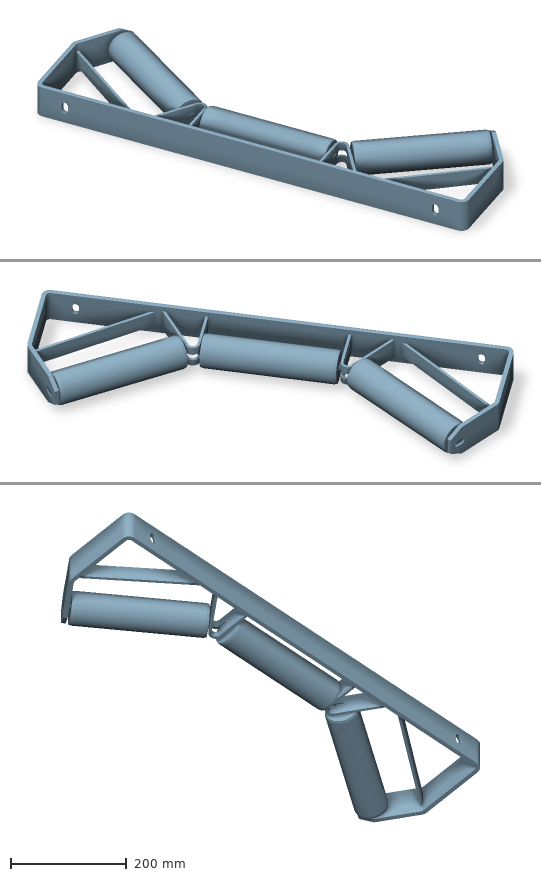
import cadquery as cq
import math

TROUGH_ANGLE = 35.0

FRAME_LENGTH = 830.0
FRAME_DEPTH = 246.5
STRAP_WIDTH = 60.0
STRAP_THICKNESS = 8.0
STRAP_BEND_RADIUS = 15.0
SIDE_END_Y = 146.0

WING_TIP_WIDTH = 30.0
WING_TAPER_LENGTH = 27.0

MOUNT_SLOT_X = 357.0
MOUNT_SLOT_WIDTH = 12.5
MOUNT_SLOT_HEIGHT = 22.0

STRUT_WIDTH = 30.0
STRUT_THICKNESS = 5.0
STRUT_FOOT_X = 222.0
STRUT_TOP_Y = 150.0

BRACKET_WIDTH = 40.0
BRACKET_THICKNESS = 5.0
BRACKET_BEND_RADIUS = 13.0

ROLLER_DIAMETER = 61.0
ROLLER_Z = -1.75
ROLLER_LENGTH = 240.0
ROLLER_END_LENGTH = 5.0
ROLLER_END_DROP = 1.25
ROLLER_GAP = 3.5
ROLLER_SHIFT = 1.0
CENTRE_ROLLER_Y = 72.0
SIDE_ROLLER_X = 255.0

SHAFT_DIAMETER = 15.0
SHAFT_FLAT_WIDTH = 10.0
SHAFT_SLOT_WIDTH = 12.5
SHAFT_SLOT_FLOOR = 8.0
WING_SLOT_TOP = 14.0

TILT = math.radians(TROUGH_ANGLE)
SIN = math.sin(TILT)
COS = math.cos(TILT)

HALF_LENGTH = FRAME_LENGTH / 2
SIDE_INNER_X = HALF_LENGTH - STRAP_THICKNESS
STRAP_BEND_X = HALF_LENGTH - STRAP_BEND_RADIUS
STRAP_INNER_RADIUS = STRAP_BEND_RADIUS - STRAP_THICKNESS
WING_START_Y = SIDE_END_Y + STRAP_BEND_RADIUS * SIN
WING_LENGTH = (FRAME_DEPTH - WING_START_Y) / COS
WING_TIP_X = STRAP_BEND_X + STRAP_BEND_RADIUS * COS - WING_LENGTH * SIN

SUPPORT_OFFSET = ROLLER_LENGTH / 2 + ROLLER_GAP
SHAFT_LENGTH = 2 * (SUPPORT_OFFSET + BRACKET_THICKNESS)

SIDE_ROLLER_TO_WING = SUPPORT_OFFSET + STRAP_THICKNESS
SIDE_ROLLER_Y = FRAME_DEPTH - (SIDE_ROLLER_TO_WING - (WING_TIP_X - SIDE_ROLLER_X) * COS) / SIN

BRACKET_BEND_X = SUPPORT_OFFSET + BRACKET_BEND_RADIUS
SLOPED_FACE = SIDE_ROLLER_X * COS + SIDE_ROLLER_Y * SIN - SUPPORT_OFFSET
BRACKET_BEND_Y = (SLOPED_FACE - BRACKET_BEND_RADIUS - BRACKET_BEND_X * COS) / SIN

CENTRE_ROLLER_PLANE = cq.Plane((0, CENTRE_ROLLER_Y, ROLLER_Z), xDir=(0, 1, 0), normal=(1, 0, 0))
SIDE_ROLLER_MIDDLE = (SIDE_ROLLER_X, SIDE_ROLLER_Y, ROLLER_Z)
SIDE_ROLLER_PLANE = cq.Plane(SIDE_ROLLER_MIDDLE, xDir=(-SIN, COS, 0), normal=(COS, SIN, 0))


def polar(centre, radius, angle):
    """Point at the given radius and angle (radians) from a centre."""
    return centre[0] + radius * math.cos(angle), centre[1] + radius * math.sin(angle)


def plate(outline, width):
    """Extrude a plan outline to the given width, centred on Z = 0."""
    return outline.close().extrude(width / 2, both=True)


def both_sides(right_half):
    """Join a right-hand shape to its mirror image."""
    return right_half.union(right_half.mirror("YZ"))


def shaft_slot(plane, offset, depth, top):
    """Round-ended cutter around a shaft, starting at an offset along the roller axis."""
    length = SHAFT_SLOT_FLOOR + top
    return (
        cq.Workplane(plane)
        .workplane(offset=offset)
        .center((top - SHAFT_SLOT_FLOOR) / 2, 0)
        .slot2D(length, SHAFT_SLOT_WIDTH)
        .extrude(depth)
    )


def strap():
    """Right half of the bent strap: base bar, side and wing."""
    corner = (STRAP_BEND_X, STRAP_BEND_RADIUS)
    shoulder = (STRAP_BEND_X, SIDE_END_Y)
    outline = (
        cq.Workplane("XY")
        .moveTo(0, 0)
        .lineTo(STRAP_BEND_X, 0)
        .threePointArc(polar(corner, STRAP_BEND_RADIUS, -math.pi / 4), (HALF_LENGTH, STRAP_BEND_RADIUS))
        .lineTo(HALF_LENGTH, SIDE_END_Y)
        .threePointArc(polar(shoulder, STRAP_BEND_RADIUS, TILT / 2), polar(shoulder, STRAP_BEND_RADIUS, TILT))
        .lineTo(WING_TIP_X, FRAME_DEPTH)
        .lineTo(WING_TIP_X - STRAP_THICKNESS * COS, FRAME_DEPTH - STRAP_THICKNESS * SIN)
        .lineTo(*polar(shoulder, STRAP_INNER_RADIUS, TILT))
        .threePointArc(polar(shoulder, STRAP_INNER_RADIUS, TILT / 2), (SIDE_INNER_X, SIDE_END_Y))
        .lineTo(SIDE_INNER_X, STRAP_BEND_RADIUS)
        .threePointArc(polar(corner, STRAP_INNER_RADIUS, -math.pi / 4), (STRAP_BEND_X, STRAP_THICKNESS))
        .lineTo(0, STRAP_THICKNESS)
    )
    return plate(outline, STRAP_WIDTH)


def wing_tapers():
    """Two wedges that narrow the wing towards its tip."""
    tip = (FRAME_DEPTH - SIDE_ROLLER_Y) * COS - (WING_TIP_X - SIDE_ROLLER_X) * SIN
    wedge = (
        cq.Workplane(SIDE_ROLLER_PLANE)
        .workplane(offset=SUPPORT_OFFSET)
        .center(0, -ROLLER_Z)
        .moveTo(tip, WING_TIP_WIDTH / 2)
        .lineTo(tip, STRAP_WIDTH / 2)
        .lineTo(tip - WING_TAPER_LENGTH, STRAP_WIDTH / 2)
        .close()
        .extrude(STRAP_THICKNESS)
    )
    return wedge.union(wedge.mirror("XY"))


def mount_slot():
    """Upright round-ended slot through the base bar."""
    return (
        cq.Workplane("XZ")
        .center(MOUNT_SLOT_X, 0)
        .slot2D(MOUNT_SLOT_HEIGHT, MOUNT_SLOT_WIDTH, 90)
        .extrude(-STRAP_THICKNESS)
    )


def strut():
    """Flat brace from the base bar up to the top of the side."""
    run = SIDE_INNER_X - STRUT_FOOT_X
    rise = STRUT_TOP_Y - STRAP_THICKNESS
    length = math.hypot(run, rise)
    half_foot = STRUT_THICKNESS / 2 * length / rise
    half_head = STRUT_THICKNESS / 2 * length / run
    outline = cq.Workplane("XY").polyline([
        (STRUT_FOOT_X - half_foot, STRAP_THICKNESS),
        (STRUT_FOOT_X + half_foot, STRAP_THICKNESS),
        (SIDE_INNER_X, STRUT_TOP_Y - half_head),
        (SIDE_INNER_X, STRUT_TOP_Y + half_head),
    ])
    return plate(outline, STRUT_WIDTH)


def bracket():
    """Bent strip whose upright and sloped legs carry the inner shaft ends."""
    bend = (BRACKET_BEND_X, BRACKET_BEND_Y)
    inner_radius = BRACKET_BEND_RADIUS - BRACKET_THICKNESS
    upright_inner_x = SUPPORT_OFFSET + BRACKET_THICKNESS
    crown_angle = (TILT + math.pi) / 2

    def sloped_foot(radius):
        """Where a face of the sloped leg, tangent to the bend, reaches the base bar."""
        start_x, start_y = polar(bend, radius, TILT)
        return start_x + (start_y - STRAP_THICKNESS) * SIN / COS, STRAP_THICKNESS

    outline = (
        cq.Workplane("XY")
        .moveTo(SUPPORT_OFFSET, STRAP_THICKNESS)
        .lineTo(SUPPORT_OFFSET, BRACKET_BEND_Y)
        .threePointArc(polar(bend, BRACKET_BEND_RADIUS, crown_angle), polar(bend, BRACKET_BEND_RADIUS, TILT))
        .lineTo(*sloped_foot(BRACKET_BEND_RADIUS))
        .lineTo(*sloped_foot(inner_radius))
        .lineTo(*polar(bend, inner_radius, TILT))
        .threePointArc(polar(bend, inner_radius, crown_angle), (upright_inner_x, BRACKET_BEND_Y))
        .lineTo(upright_inner_x, STRAP_THICKNESS)
    )
    open_top = 2 * BRACKET_BEND_RADIUS + BRACKET_BEND_Y - CENTRE_ROLLER_Y
    upright_slot = shaft_slot(CENTRE_ROLLER_PLANE, SUPPORT_OFFSET, BRACKET_BEND_RADIUS, open_top)
    sloped_slot = shaft_slot(SIDE_ROLLER_PLANE, -SUPPORT_OFFSET, -BRACKET_BEND_RADIUS, open_top)
    return plate(outline, BRACKET_WIDTH).cut(upright_slot).cut(sloped_slot)


def make_frame():
    """Frame symmetric about X = 0, with all its welded members."""
    wing_slot = shaft_slot(SIDE_ROLLER_PLANE, SUPPORT_OFFSET, STRAP_THICKNESS, WING_SLOT_TOP)
    right_strap = strap().cut(wing_tapers()).cut(wing_slot).cut(mount_slot())
    return both_sides(right_strap.union(strut()).union(bracket()))


def make_roller(x, y, tilt):
    """Roller with its shaft, tilted about Z and lying between the supports around (x, y)."""
    half = ROLLER_LENGTH / 2
    radius = ROLLER_DIAMETER / 2
    end_radius = radius - ROLLER_END_DROP
    shell = (
        cq.Workplane("XY")
        .polyline([
            (-half, 0),
            (-half, end_radius),
            (-half + ROLLER_END_LENGTH, radius),
            (half - ROLLER_END_LENGTH, radius),
            (half, end_radius),
            (half, 0),
        ])
        .close()
        .revolve(360, (0, 0, 0), (1, 0, 0))
    )
    shaft = cq.Workplane("YZ").circle(SHAFT_DIAMETER / 2).extrude(SHAFT_LENGTH / 2, both=True)
    flats = cq.Workplane("XY").box(SHAFT_LENGTH, SHAFT_DIAMETER, SHAFT_FLAT_WIDTH)
    roller = shell.union(shaft.intersect(flats))
    shifted = roller.translate((ROLLER_SHIFT, 0, 0))
    return shifted.rotate((0, 0, 0), (0, 0, 1), tilt).translate((x, y, ROLLER_Z))


ROLLER_PLACES = [
    (-SIDE_ROLLER_X, SIDE_ROLLER_Y, -TROUGH_ANGLE),
    (0, CENTRE_ROLLER_Y, 0),
    (SIDE_ROLLER_X, SIDE_ROLLER_Y, TROUGH_ANGLE),
]

frame = make_frame()
rollers = [make_roller(*place) for place in ROLLER_PLACES]

result = cq.Compound.makeCompound([frame.val(), *[roller.val() for roller in rollers]])